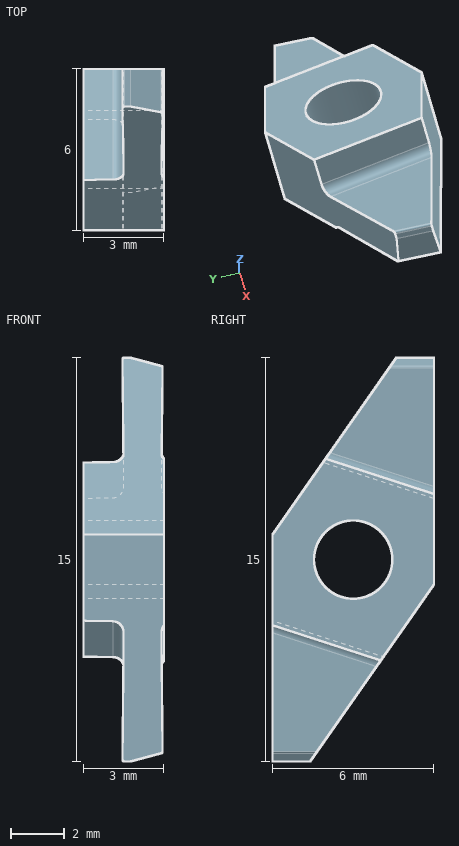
import cadquery as cq
import math

thickness = 3.0
width = 6.0
height = 15.0
hole_diameter = 2.9
tip_length = 1.4
flank_angle = 35.0

neck_angle = 18.0
neck_distance = 3.085
neck_radius = 0.4
shoulder_tilt = 1.0
blade_low_x = 1.5
blade_high_x = 2.9
side_flare = 0.6

tip_flat_end_x = 1.75
tip_slope = 15.0
tip_corner_radius = 0.08

half_width = width / 2
half_height = height / 2
clearance = 1.0


def tan_degrees(angle):
    return math.tan(math.radians(angle))


def make_plate():
    tip_end_y = half_width - tip_length
    flank_end_z = half_height - (width - tip_length) / tan_degrees(flank_angle)
    outline = [
        (half_width, half_height),
        (tip_end_y, half_height),
        (-half_width, flank_end_z),
        (-half_width, -half_height),
        (-tip_end_y, -half_height),
        (half_width, -flank_end_z),
    ]
    plate = cq.Workplane("YZ").polyline(outline).close().extrude(thickness)
    hole = cq.Workplane("YZ").circle(hole_diameter / 2).extrude(thickness)
    return plate.cut(hole)


def make_side_cutter(blade_x, outer_x):
    """Tool that thins the upper blade from blade_x out to outer_x, with a rounded neck."""
    neck_plane = cq.Plane(
        origin=(0, 0, 0),
        xDir=(1, 0, 0),
        normal=(0, -math.cos(math.radians(neck_angle)), math.sin(math.radians(neck_angle))),
    )
    corner_y = neck_distance + blade_low_x * tan_degrees(shoulder_tilt)
    outer_y = corner_y - abs(outer_x - blade_x) * tan_degrees(shoulder_tilt)
    cutter_top = height
    flare = (cutter_top - corner_y) * tan_degrees(side_flare)
    outward = math.copysign(1, outer_x - blade_x)
    profile = [
        (blade_x, corner_y),
        (blade_x + outward * flare, cutter_top),
        (outer_x, cutter_top),
        (outer_x, outer_y),
    ]
    cutter = cq.Workplane(neck_plane).polyline(profile).close().extrude(height, both=True)
    neck_corner = neck_plane.toWorldCoords((blade_x, corner_y, 0)).toTuple()
    return cutter.edges(cq.NearestToPointSelector(neck_corner)).fillet(neck_radius)


def tip_height_at(x):
    """Z of the sloping end face of the upper tip."""
    return half_height - (x - tip_flat_end_x) * tan_degrees(tip_slope)


def make_tip_cutter():
    """Wedge that slopes the upper tip down towards the high-X side."""
    outer_x = thickness + clearance
    profile = [
        (tip_flat_end_x, half_height),
        (outer_x, half_height),
        (outer_x, tip_height_at(outer_x)),
    ]
    return cq.Workplane("XZ").polyline(profile).close().extrude(width, both=True)


def shape_upper_end(body):
    body = body.cut(make_side_cutter(blade_low_x, -clearance))
    body = body.cut(make_side_cutter(blade_high_x, thickness + clearance))
    body = body.cut(make_tip_cutter())
    tip_middle_y = half_width - tip_length / 2
    tip_corners = [
        (blade_low_x, tip_middle_y, half_height),
        (blade_high_x, tip_middle_y, tip_height_at(blade_high_x)),
    ]
    for corner in tip_corners:
        body = body.edges(cq.NearestToPointSelector(corner)).fillet(tip_corner_radius)
    return body


result = make_plate()
for end in range(2):
    result = shape_upper_end(result).rotate((0, 0, 0), (1, 0, 0), 180)